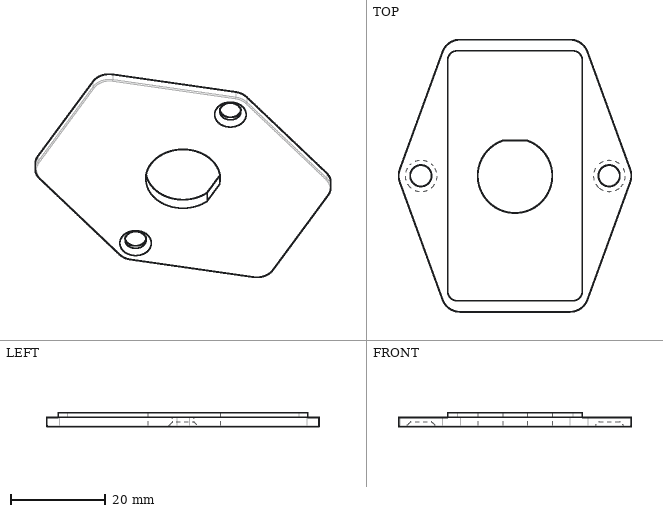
import cadquery as cq
import math

plate_length = 57.9
tip_to_tip = 50.0
side_angle = 20.0
plate_thickness = 2.0
plate_corner_radius = 4.0
bottom_edge_radius = 0.25

pad_width = 28.6
pad_length = 53.1
pad_height = 1.0
pad_corner_radius = 2.0

opening_diameter = 15.8
opening_flat_distance = 7.45

mounting_hole_diameter = 4.5
mounting_hole_spacing = 40.0
countersink_depth = 1.1

total_height = plate_thickness + pad_height


def make_plate():
    """Hexagonal plate with rounded corners and a rounded bottom edge."""
    tip_x = tip_to_tip / 2
    end_y = plate_length / 2
    end_x = tip_x - end_y * math.tan(math.radians(side_angle))
    corners = [
        (tip_x, 0),
        (end_x, end_y),
        (-end_x, end_y),
        (-tip_x, 0),
        (-end_x, -end_y),
        (end_x, -end_y),
    ]
    plate = cq.Workplane("XY").polyline(corners).close().extrude(plate_thickness)
    plate = plate.edges("|Z").fillet(plate_corner_radius)
    return plate.faces("<Z").edges().fillet(bottom_edge_radius)


def make_pad():
    """Rounded rectangular pad standing on the plate."""
    pad = cq.Workplane("XY").workplane(offset=plate_thickness).rect(pad_width, pad_length)
    return pad.extrude(pad_height).edges("|Z").fillet(pad_corner_radius)


def make_opening():
    """Cutter for the central D-shaped opening."""
    radius = opening_diameter / 2
    flat_half_width = math.sqrt(radius**2 - opening_flat_distance**2)
    profile = (
        cq.Workplane("XY")
        .moveTo(-flat_half_width, opening_flat_distance)
        .threePointArc((0, -radius), (flat_half_width, opening_flat_distance))
        .close()
    )
    return profile.extrude(total_height)


def make_mounting_hole(center_x):
    """Cutter for one mounting hole, with its countersink opening at the bottom face."""
    hole_radius = mounting_hole_diameter / 2
    hole = cq.Workplane("XY").center(center_x, 0).circle(hole_radius).extrude(plate_thickness)
    countersink = cq.Solid.makeCone(
        hole_radius + countersink_depth,
        hole_radius,
        countersink_depth,
        pnt=cq.Vector(center_x, 0, 0),
    )
    return hole.union(cq.Workplane(countersink))


result = make_plate().union(make_pad()).cut(make_opening())
for side in (-1, 1):
    result = result.cut(make_mounting_hole(side * mounting_hole_spacing / 2))